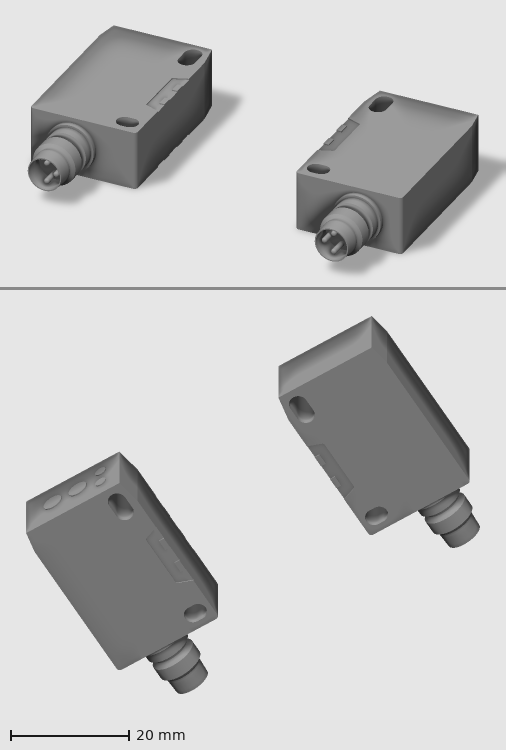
import cadquery as cq
import math

OVERALL_WIDTH = 70.0

HOUSING_WIDTH = 20.0
HOUSING_LENGTH = 31.0
HOUSING_HEIGHT = 11.0
TAPER_ANGLE = 10.0
OUTER_TAPER_LENGTH = 3.85
INNER_TAPER_LENGTH = 4.6
FRONT_CORNER_RADIUS = 0.6

SLOT_INSET = 3.0
REAR_SLOT_WIDTH = 3.15
REAR_SLOT_LENGTH = 5.5
REAR_SLOT_SETBACK = 4.05
FRONT_SLOT_WIDTH = 4.05
FRONT_SLOT_LENGTH = 3.0
FRONT_SLOT_SETBACK = 2.8

RECESS_DEPTH = 0.2
RECESS_REACH = 2.7
RECESS_MOUTH = 12.05
RECESS_FLOOR_WIDTH = 10.0
RECESS_CENTER_Y = -16.6
RECESS_CORNER_RADIUS = 0.4

LAMP_REACH = 1.0
LAMP_WIDTH = 2.0
LAMP_SPACING = 5.0

CONNECTOR_INSET = 8.0
FLANGE_RADIUS = 4.5
FLANGE_END = 1.0
BARREL_RADIUS = 4.0
BARREL_END = 2.95
NECK_RADIUS = 3.3
NECK_START = 3.2
NECK_END = 3.65
COLLAR_START = 4.55
COLLAR_END = 7.0
NOSE_START = 7.7
NOSE_TAPER_START = 8.2
NOSE_TIP_RADIUS = 3.15
CONNECTOR_LENGTH = 10.8

BORE_RADIUS = 2.95
BORE_DEPTH = 4.0
PIN_RADIUS = 0.5
PIN_TIP_ROUNDING = 0.4
PIN_CIRCLE_RADIUS = 1.75
PIN_RECESS = 0.55
PIN_ANGLES = (-90, 0, 90)

LENS_HEIGHT = 0.2
SMALL_LENS_DIAMETER = 2.0
SMALL_LENS_OFFSET = 4.5
SMALL_LENS_Z = 1.8
LARGE_LENS_DIAMETER = 3.5
LARGE_LENS_OFFSETS = (9.0, 14.0)

HALF_WIDTH = OVERALL_WIDTH / 2
OUTER_X = -HALF_WIDTH
INNER_X = OUTER_X + HOUSING_WIDTH
FRONT_Y = -HOUSING_LENGTH
HALF_HEIGHT = HOUSING_HEIGHT / 2


def make_block():
    """Housing block with tapered rear sides and rounded front corners."""
    slope = math.tan(math.radians(TAPER_ANGLE))
    outline = [
        (OUTER_X, FRONT_Y),
        (INNER_X, FRONT_Y),
        (INNER_X, -INNER_TAPER_LENGTH),
        (INNER_X - INNER_TAPER_LENGTH * slope, 0),
        (OUTER_X + OUTER_TAPER_LENGTH * slope, 0),
        (OUTER_X, -OUTER_TAPER_LENGTH),
    ]
    block = cq.Workplane("XY").polyline(outline).close().extrude(HALF_HEIGHT, both=True)
    return block.edges("|Z and <Y").fillet(FRONT_CORNER_RADIUS)


def make_slots():
    """Cutters for the two mounting slots, the rear one along Y and the front one along X."""
    slot_x = INNER_X - SLOT_INSET
    rear = (
        cq.Workplane("XY")
        .center(slot_x, -REAR_SLOT_SETBACK)
        .slot2D(REAR_SLOT_LENGTH, REAR_SLOT_WIDTH, 90)
        .extrude(HALF_HEIGHT, both=True)
    )
    front = (
        cq.Workplane("XY")
        .center(slot_x, FRONT_Y + FRONT_SLOT_SETBACK)
        .slot2D(FRONT_SLOT_WIDTH, FRONT_SLOT_LENGTH)
        .extrude(HALF_HEIGHT, both=True)
    )
    return rear.union(front)


def make_indicator_recess():
    """Cutter for the top indicator recess, with its two lamps left standing."""
    recess = (
        cq.Workplane("XY", origin=(INNER_X, RECESS_CENTER_Y, HALF_HEIGHT))
        .moveTo(0, -RECESS_MOUTH / 2)
        .lineTo(0, RECESS_MOUTH / 2)
        .lineTo(-RECESS_REACH, RECESS_FLOOR_WIDTH / 2)
        .lineTo(-RECESS_REACH, -RECESS_FLOOR_WIDTH / 2)
        .close()
        .extrude(-RECESS_DEPTH)
        .edges("|Z and <X")
        .fillet(RECESS_CORNER_RADIUS)
    )
    lamps = (
        cq.Workplane("XY", origin=(INNER_X - LAMP_REACH / 2, RECESS_CENTER_Y, HALF_HEIGHT))
        .rarray(0.7, LAMP_SPACING, 1, 2)
        .rect(LAMP_REACH, LAMP_WIDTH)
        .extrude(-RECESS_DEPTH)
    )
    return recess.cut(lamps)


def make_connector():
    """Turned connector with a socket bore and three round-tipped pins."""
    profile = [
        (0, 0),
        (FLANGE_RADIUS, 0),
        (FLANGE_RADIUS, FLANGE_END),
        (BARREL_RADIUS, FLANGE_END),
        (BARREL_RADIUS, BARREL_END),
        (NECK_RADIUS, NECK_START),
        (NECK_RADIUS, NECK_END),
        (BARREL_RADIUS, COLLAR_START),
        (BARREL_RADIUS, COLLAR_END),
        (NECK_RADIUS, NOSE_START),
        (NECK_RADIUS, NOSE_TAPER_START),
        (NOSE_TIP_RADIUS, CONNECTOR_LENGTH),
        (BORE_RADIUS, CONNECTOR_LENGTH),
        (BORE_RADIUS, CONNECTOR_LENGTH - BORE_DEPTH),
        (0, CONNECTOR_LENGTH - BORE_DEPTH),
    ]
    axis_plane = cq.Plane(
        origin=(OUTER_X + CONNECTOR_INSET, FRONT_Y, 0), xDir=(0, 0, 1), normal=(1, 0, 0)
    )
    connector = cq.Workplane(axis_plane).polyline(profile).close().revolve(360, (0, 0), (0, 1))

    pins = (
        cq.Workplane("XZ", origin=(OUTER_X + CONNECTOR_INSET, FRONT_Y, 0))
        .workplane(offset=CONNECTOR_LENGTH - BORE_DEPTH)
        .pushPoints([
            (
                PIN_CIRCLE_RADIUS * math.cos(math.radians(angle)),
                PIN_CIRCLE_RADIUS * math.sin(math.radians(angle)),
            )
            for angle in PIN_ANGLES
        ])
        .circle(PIN_RADIUS)
        .extrude(BORE_DEPTH - PIN_RECESS)
        .faces("<Y")
        .edges()
        .fillet(PIN_TIP_ROUNDING)
    )
    return connector.union(pins)


def make_sensor():
    """Complete sensor in the emitter's place, with its inner side toward +X."""
    recess = make_indicator_recess()
    return (
        make_block()
        .cut(make_slots())
        .cut(recess)
        .cut(recess.mirror("XY"))
        .union(make_connector())
    )


def make_lenses():
    """Two small and two large round lenses on the receiver's rear face."""
    receiver_inner_x = -INNER_X
    rear_face = cq.Workplane("XZ", origin=(receiver_inner_x, 0, 0))
    small = (
        rear_face
        .pushPoints([(SMALL_LENS_OFFSET, SMALL_LENS_Z), (SMALL_LENS_OFFSET, -SMALL_LENS_Z)])
        .circle(SMALL_LENS_DIAMETER / 2)
        .extrude(-LENS_HEIGHT)
    )
    large = (
        rear_face
        .pushPoints([(offset, 0) for offset in LARGE_LENS_OFFSETS])
        .circle(LARGE_LENS_DIAMETER / 2)
        .extrude(-LENS_HEIGHT)
    )
    return small.union(large)


emitter = make_sensor()
receiver = make_sensor().mirror("YZ").union(make_lenses())

result = cq.Compound.makeCompound([emitter.solids().val(), receiver.solids().val()])